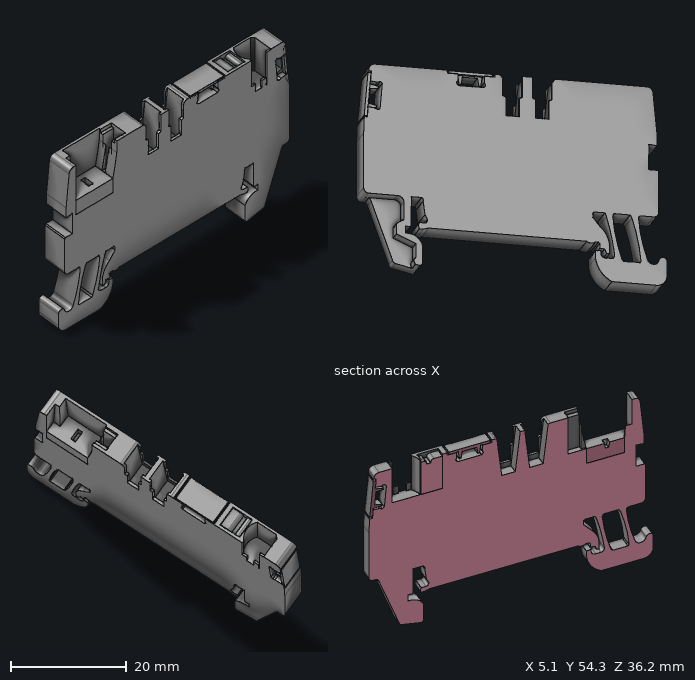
import cadquery as cq
import math


THICKNESS = 5.1
LENGTH = 54.25
HEIGHT = 36.2
SHOULDER_Z = 12.5
RAIL_SEAT_Z = 7.0

WEB_SETBACK = 2.35

SLOT_FLOOR_Z = 28.8
SLOT_STEP_Z = 32.15
BRIDGE_POCKET_FLOOR_Z = 27.65
SLOT_PLACES = ((27.6, 1), (22.3, -1))
SLOT_ROUND = 0.9
SLOT_WIDTH = 3.45
SLOT_LOWER_WIDTH = 2.4
SLOT_STEP_RISE = 0.25
BRIDGE_POCKET_X = (0.5, 4.55)
BRIDGE_POCKET_TOP_WIDTH = 4.4
BRIDGE_POCKET_FLOOR_WIDTH = 2.5

SEAT_LENGTH = 8.45
SEAT_WALL = 0.2
MARKER_LENGTH = 7.9
MARKER_PLATE = 0.55
MARKER_BRIDGE = 0.8
MARKER_SIDE_GAP = 0.2
CLIP_SIDE_GAP = 0.8
LEG_LENGTH = 2.15
LEG_INNER = 1.35
LEG_OUTER = 2.15
LEG_TIP_INNER = 1.55
LEG_TIP_OUTER = 1.95
WINDOW_DEPTH = 2.65
WINDOW_NECK = 2.4
WINDOW_HALF = 2.6
WINDOW_FLOOR_HALF = 2.3
WINDOW_BULGE_DEPTH = 2.3
WINDOW_NECK_DEPTH = 1.8
TOP_MARKER_Y = 35.05
END_MARKER_Y = 53.75
END_MARKER_Z = 30.7
END_SLOPE = 4.9

WIRE_ENTRY_DEPTH = 7.6
WIRE_ENTRY_X = 0.5
WIRE_ENTRY_BACK_Y = 49.8
WIRE_ENTRY_SIDE_Y = 45.3
WIRE_ENTRY_FRONT_Y = 44.45
WIRE_ENTRY_MIDDLE_X = 2.55
WIRE_ENTRY_ARC_END_X = 4.6
WIRE_ENTRY_CORNER = 0.55
POST_THICKNESS = 0.4
TALL_POST_Y = (48.85, 49.8)
TALL_POST_DROP = 0.15
SHORT_POST_HEIGHT = 1.6
SHORT_POST_SPANS = ((47.65, 48.7), (45.3, 46.2))

BUTTON_X = (0.6, 4.5)
BUTTON_Y = (40.25, 44.25)
BUTTON_DEPTH = 7.6
BUTTON_RECESS = 0.45
BUTTON_GROOVE_FLOOR = 1.2
BUTTON_GROOVE_Y = (42.45, 43.15)
BUTTON_ROUND = 0.65

GUIDE_X = (0.9, 4.5)
GUIDE_Y = (13.65, 16.2)
GUIDE_SLOT_X = (1.5, 3.75)
GUIDE_LEDGE_DEPTH = 0.8
CHANNEL_X = (2.3, 3.1)
CAVITY_X = 0.6
CAVITY_FLOOR_Z = 28.2
CAVITY_BACK_Y = 12.75
LIP_TOP_Z = 33.55
LIP_MIDDLE = (13.4, 31.7)
CAVITY_FRONT_Y = 5.05
CAVITY_NOTCH_X = 2.5
CAVITY_NOTCH_Y = 4.1
FRONT_TAPER = 0.5

INSERT_HEIGHT = 3.25
DRIVER_SLOT_X = (1.7, 3.8)
DRIVER_SLOT_Y = (8.35, 9.35)
DRIVER_SLOT_DEPTH = 1.1
DRIVER_SLOT_TAPER = 12.0


def box(x_span, y_span, z_span):
    """Rectangular block between the given limits."""
    size = [span[1] - span[0] for span in (x_span, y_span, z_span)]
    corner = (x_span[0], y_span[0], z_span[0])
    return cq.Workplane("XY").box(*size, centered=False).translate(corner)


def side_profile(y, z):
    """Start an outline in the Y-Z plane of the side wall."""
    return cq.Workplane("YZ").moveTo(y, z)


def block_plate():
    """Upper block with its sloped ends and the notch in the low-Y end, and the part seated on the rail."""
    return (
        side_profile(3.65, HEIGHT)
        .lineTo(52.3, HEIGHT)
        .threePointArc((52.9, 36.0), (53.25, 35.45))
        .lineTo(54.1, 26.3)
        .lineTo(LENGTH, 23.45)
        .lineTo(LENGTH, 13.45)
        .threePointArc((53.95, 12.75), (53.25, SHOULDER_Z))
        .lineTo(43.85, SHOULDER_Z)
        .threePointArc((43.65, 12.25), (43.6, 11.8))
        .lineTo(43.3, 9.4)
        .lineTo(42.85, 8.55)
        .threePointArc((42.95, 8.1), (43.35, 7.85))
        .lineTo(44.25, 7.85)
        .threePointArc((44.4, 7.25), (44.25, 6.7))
        .lineTo(43.5, 6.7)
        .lineTo(42.6, RAIL_SEAT_Z)
        .lineTo(14.35, RAIL_SEAT_Z)
        .threePointArc((13.55, 6.7), (12.8, RAIL_SEAT_Z))
        .lineTo(12.3, RAIL_SEAT_Z)
        .lineTo(12.05, 6.8)
        .lineTo(12.05, 5.9)
        .lineTo(11.15, 5.85)
        .lineTo(10.8, 5.05)
        .lineTo(10.3, 5.05)
        .lineTo(10.3, 6.8)
        .threePointArc((10.95, 8.7), (11.95, 9.85))
        .lineTo(13.3, 11.5)
        .lineTo(13.3, 12.15)
        .lineTo(13.05, SHOULDER_Z)
        .lineTo(2.45, SHOULDER_Z)
        .threePointArc((1.75, 12.75), (1.45, 13.45))
        .lineTo(1.45, 20.9)
        .lineTo(1.7, 21.1)
        .lineTo(3.25, 21.1)
        .lineTo(3.25, 25.7)
        .lineTo(1.8, 25.55)
        .lineTo(1.8, 27.9)
        .lineTo(2.5, 35.2)
        .threePointArc((2.9, 35.95), (3.65, HEIGHT))
        .close()
        .extrude(THICKNESS)
    )


def foot():
    """Fixed foot that grips one rail edge."""
    return (
        side_profile(52.7, SHOULDER_Z)
        .threePointArc((52.5, 12.25), (52.3, 11.8))
        .lineTo(48.5, 1.4)
        .threePointArc((48.3, 1.05), (47.95, 0.8))
        .lineTo(44.15, 0.0)
        .lineTo(43.7, 0.3)
        .lineTo(43.7, 3.95)
        .threePointArc((44.8, 5.25), (46.75, 5.75))
        .lineTo(46.75, RAIL_SEAT_Z)
        .lineTo(45.9, RAIL_SEAT_Z)
        .lineTo(45.7, 7.2)
        .lineTo(45.7, SHOULDER_Z)
        .close()
        .extrude(THICKNESS)
    )


def foot_web_setback():
    """Recess that leaves a raised strip along the rail side of the foot."""
    return (
        side_profile(LENGTH, SHOULDER_Z)
        .lineTo(48.2, SHOULDER_Z)
        .threePointArc((47.4, 12.15), (47.0, 11.4))
        .lineTo(47.0, 8.25)
        .lineTo(48.4, 7.3)
        .lineTo(48.4, 5.4)
        .lineTo(44.9, 3.95)
        .lineTo(44.9, 1.45)
        .threePointArc((45.25, 0.9), (44.95, 0.2))
        .lineTo(44.95, 0.0)
        .lineTo(LENGTH, 0.0)
        .close()
        .extrude(WEB_SETBACK)
    )


def spring_hook():
    """Hook hung from two curved legs, which springs over the other rail edge."""
    outline = (
        side_profile(11.1, SHOULDER_Z)
        .lineTo(10.85, 11.8)
        .threePointArc((9.9, 8.15), (9.4, 5.0))
        .threePointArc((9.55, 4.45), (10.1, 4.25))
        .lineTo(11.0, 4.25)
        .threePointArc((11.6, 4.45), (11.8, 5.0))
        .lineTo(11.8, 5.55)
        .lineTo(12.8, 5.4)
        .lineTo(12.8, 4.1)
        .threePointArc((11.8, 1.6), (9.85, 0.0))
        .lineTo(1.9, 0.0)
        .threePointArc((0.55, 0.55), (0.0, 1.9))
        .lineTo(0.0, 4.55)
        .threePointArc((0.7, 5.25), (1.4, 4.75))
        .threePointArc((2.55, 3.85), (3.45, 4.6))
        .threePointArc((4.45, 7.9), (5.1, 11.8))
        .lineTo(5.1, 12.2)
        .lineTo(4.8, SHOULDER_Z)
        .close()
        .extrude(THICKNESS)
    )
    window = (
        side_profile(9.5, SHOULDER_Z)
        .lineTo(6.6, SHOULDER_Z)
        .lineTo(6.3, 11.95)
        .threePointArc((5.2, 7.85), (4.65, 4.1))
        .lineTo(4.9, 3.9)
        .lineTo(7.75, 3.9)
        .lineTo(8.0, 4.25)
        .threePointArc((9.1, 8.15), (9.7, 11.95))
        .close()
        .extrude(THICKNESS)
    )
    return outline.cut(window)


def bridge_slot(center, outward):
    """Stepped notch through the walls, rounded on its outward rim, and the tapered pocket between them."""
    half = SLOT_WIDTH / 2
    lower_half = SLOT_LOWER_WIDTH / 2
    bulge = SLOT_ROUND * (1 - math.sqrt(0.5))
    inner_y = center - outward * half
    outer_y = center + outward * half
    notch = (
        side_profile(inner_y, HEIGHT)
        .lineTo(inner_y, SLOT_STEP_Z + SLOT_STEP_RISE)
        .lineTo(center - outward * lower_half, SLOT_STEP_Z)
        .lineTo(center - outward * lower_half, SLOT_FLOOR_Z)
        .lineTo(center + outward * lower_half, SLOT_FLOOR_Z)
        .lineTo(center + outward * lower_half, SLOT_STEP_Z)
        .lineTo(outer_y, SLOT_STEP_Z + SLOT_STEP_RISE)
        .lineTo(outer_y, HEIGHT - SLOT_ROUND)
        .threePointArc((outer_y + outward * bulge, HEIGHT - bulge), (outer_y + outward * SLOT_ROUND, HEIGHT))
        .close()
        .extrude(THICKNESS)
    )
    top_half = BRIDGE_POCKET_TOP_WIDTH / 2
    floor_half = BRIDGE_POCKET_FLOOR_WIDTH / 2
    pocket = (
        side_profile(center - top_half, HEIGHT)
        .lineTo(center - floor_half, BRIDGE_POCKET_FLOOR_Z)
        .lineTo(center + floor_half, BRIDGE_POCKET_FLOOR_Z)
        .lineTo(center + top_half, HEIGHT)
        .close()
        .extrude(BRIDGE_POCKET_X[1] - BRIDGE_POCKET_X[0])
        .translate((BRIDGE_POCKET_X[0], 0, 0))
    )
    return notch.union(pocket)


def marker_seat():
    """Cut for a marker whose outer face is centred on the Y-Z origin and faces +Z."""
    half = SEAT_LENGTH / 2
    groove = box((0, THICKNESS - SEAT_WALL), (-half, half), (-MARKER_PLATE, MARKER_PLATE))
    window = (
        side_profile(-WINDOW_NECK, 0)
        .lineTo(-WINDOW_NECK, -WINDOW_NECK_DEPTH)
        .lineTo(-WINDOW_HALF, -WINDOW_BULGE_DEPTH)
        .lineTo(-WINDOW_FLOOR_HALF, -WINDOW_DEPTH)
        .lineTo(WINDOW_FLOOR_HALF, -WINDOW_DEPTH)
        .lineTo(WINDOW_HALF, -WINDOW_BULGE_DEPTH)
        .lineTo(WINDOW_NECK, -WINDOW_NECK_DEPTH)
        .lineTo(WINDOW_NECK, 0)
        .close()
        .extrude(THICKNESS)
    )
    return groove.union(window)


def marker():
    """Marker strip with two clip legs narrower than its plate, in the same pose as its seat."""
    half = MARKER_LENGTH / 2
    plate = box((MARKER_SIDE_GAP, THICKNESS - MARKER_SIDE_GAP), (-half, half), (-MARKER_PLATE, 0))
    clip = (
        side_profile(-LEG_OUTER, -MARKER_PLATE)
        .lineTo(-LEG_TIP_OUTER, -LEG_LENGTH)
        .lineTo(-LEG_TIP_INNER, -LEG_LENGTH)
        .lineTo(-LEG_INNER, -MARKER_BRIDGE)
        .lineTo(LEG_INNER, -MARKER_BRIDGE)
        .lineTo(LEG_TIP_INNER, -LEG_LENGTH)
        .lineTo(LEG_TIP_OUTER, -LEG_LENGTH)
        .lineTo(LEG_OUTER, -MARKER_PLATE)
        .close()
        .extrude(THICKNESS - 2 * CLIP_SIDE_GAP)
        .translate((CLIP_SIDE_GAP, 0, 0))
    )
    return plate.union(clip)


def at_marker_places(make_shape):
    """Copies of a shape at the top marker place and at the sloped end marker place."""
    places = ((0, TOP_MARKER_Y, HEIGHT), (END_SLOPE - 90, END_MARKER_Y, END_MARKER_Z))
    return [
        make_shape().rotate((0, 0, 0), (1, 0, 0), angle).translate((0, y, z))
        for angle, y, z in places
    ]


def wire_entry():
    """Round-fronted well for the wire, with one tall and two short posts along its open side."""
    floor_z = HEIGHT - WIRE_ENTRY_DEPTH
    well = (
        cq.Workplane("XY", origin=(0, 0, floor_z))
        .moveTo(THICKNESS, WIRE_ENTRY_BACK_Y)
        .lineTo(WIRE_ENTRY_X + WIRE_ENTRY_CORNER, WIRE_ENTRY_BACK_Y)
        .lineTo(WIRE_ENTRY_X, WIRE_ENTRY_BACK_Y - WIRE_ENTRY_CORNER)
        .lineTo(WIRE_ENTRY_X, WIRE_ENTRY_SIDE_Y)
        .threePointArc(
            (WIRE_ENTRY_MIDDLE_X, WIRE_ENTRY_FRONT_Y),
            (WIRE_ENTRY_ARC_END_X, WIRE_ENTRY_SIDE_Y),
        )
        .lineTo(THICKNESS, WIRE_ENTRY_SIDE_Y)
        .close()
        .extrude(WIRE_ENTRY_DEPTH)
    )
    post_x = (THICKNESS - POST_THICKNESS, THICKNESS)
    well = well.cut(box(post_x, TALL_POST_Y, (floor_z, HEIGHT - TALL_POST_DROP)))
    for y_span in SHORT_POST_SPANS:
        well = well.cut(box(post_x, y_span, (floor_z, floor_z + SHORT_POST_HEIGHT)))
    return well


def button_shaft():
    """Shaft for the push button."""
    return box(BUTTON_X, BUTTON_Y, (HEIGHT - BUTTON_DEPTH, HEIGHT))


def push_button():
    """Push button with a screwdriver groove across its top, rounded on both groove edges."""
    base_z = HEIGHT - BUTTON_DEPTH
    top_z = HEIGHT - BUTTON_RECESS
    groove_z = HEIGHT - BUTTON_GROOVE_FLOOR
    low_y, high_y = BUTTON_GROOVE_Y
    bulge = BUTTON_ROUND * (1 - math.sqrt(0.5))
    return (
        side_profile(BUTTON_Y[0], base_z)
        .lineTo(BUTTON_Y[0], top_z)
        .lineTo(low_y - BUTTON_ROUND, top_z)
        .threePointArc((low_y - bulge, top_z - bulge), (low_y, top_z - BUTTON_ROUND))
        .lineTo(low_y, groove_z)
        .lineTo(high_y, groove_z)
        .lineTo(high_y, top_z - BUTTON_ROUND)
        .threePointArc((high_y + bulge, top_z - bulge), (high_y + BUTTON_ROUND, top_z))
        .lineTo(BUTTON_Y[1], top_z)
        .lineTo(BUTTON_Y[1], base_z)
        .close()
        .extrude(BUTTON_X[1] - BUTTON_X[0])
        .translate((BUTTON_X[0], 0, 0))
    )


def guide_pocket():
    """Stepped pocket that narrows to a channel through the lip in front of it."""
    upper = box(GUIDE_X, GUIDE_Y, (HEIGHT - GUIDE_LEDGE_DEPTH, HEIGHT))
    slot = box(GUIDE_SLOT_X, GUIDE_Y, (CAVITY_FLOOR_Z, HEIGHT))
    channel = box(CHANNEL_X, (CAVITY_BACK_Y, GUIDE_Y[0]), (CAVITY_FLOOR_Z, HEIGHT))
    return upper.union(slot).union(channel)


def cavity():
    """Cavity open upward and to the far side, with a curved lip at the back and a tapered, stepped front."""
    back_y = GUIDE_Y[0]
    main = (
        side_profile(CAVITY_FRONT_Y, HEIGHT)
        .lineTo(CAVITY_FRONT_Y + FRONT_TAPER, CAVITY_FLOOR_Z)
        .lineTo(CAVITY_BACK_Y, CAVITY_FLOOR_Z)
        .threePointArc(LIP_MIDDLE, (back_y, LIP_TOP_Z))
        .lineTo(back_y, HEIGHT)
        .close()
        .extrude(THICKNESS - CAVITY_X)
        .translate((CAVITY_X, 0, 0))
    )
    front_notch = (
        cq.Workplane("XZ", origin=(0, CAVITY_BACK_Y, 0))
        .moveTo(CAVITY_NOTCH_X, HEIGHT)
        .lineTo(CAVITY_NOTCH_X + FRONT_TAPER, CAVITY_FLOOR_Z)
        .lineTo(THICKNESS, CAVITY_FLOOR_Z)
        .lineTo(THICKNESS, HEIGHT)
        .close()
        .extrude(CAVITY_BACK_Y - CAVITY_NOTCH_Y)
    )
    return main.union(front_notch)


def insert_blank():
    """Space filled by the insert, whose top is the whole cavity floor."""
    z_span = (CAVITY_FLOOR_Z - INSERT_HEIGHT, CAVITY_FLOOR_Z)
    main = box((CAVITY_X, THICKNESS), (CAVITY_FRONT_Y + FRONT_TAPER, CAVITY_BACK_Y), z_span)
    tongue = box((CAVITY_NOTCH_X + FRONT_TAPER, THICKNESS), (CAVITY_NOTCH_Y, CAVITY_BACK_Y), z_span)
    return main.union(tongue)


def slotted_insert():
    """Insert with a tapered screwdriver slot in its top."""
    slot = (
        cq.Workplane("XY", origin=(sum(DRIVER_SLOT_X) / 2, sum(DRIVER_SLOT_Y) / 2, CAVITY_FLOOR_Z))
        .rect(DRIVER_SLOT_X[1] - DRIVER_SLOT_X[0], DRIVER_SLOT_Y[1] - DRIVER_SLOT_Y[0])
        .extrude(-DRIVER_SLOT_DEPTH, taper=DRIVER_SLOT_TAPER)
    )
    return insert_blank().cut(slot)


def build_housing():
    body = block_plate().union(foot()).union(spring_hook()).cut(foot_web_setback())
    for center, outward in SLOT_PLACES:
        body = body.cut(bridge_slot(center, outward))
    for seat in at_marker_places(marker_seat):
        body = body.cut(seat)
    for opening in (wire_entry(), button_shaft(), guide_pocket(), cavity(), insert_blank()):
        body = body.cut(opening)
    return body


housing = build_housing()
markers = at_marker_places(marker)
button = push_button()
insert = slotted_insert()

result = cq.Compound.makeCompound(
    [housing.val(), *[strip.val() for strip in markers], button.val(), insert.val()]
)